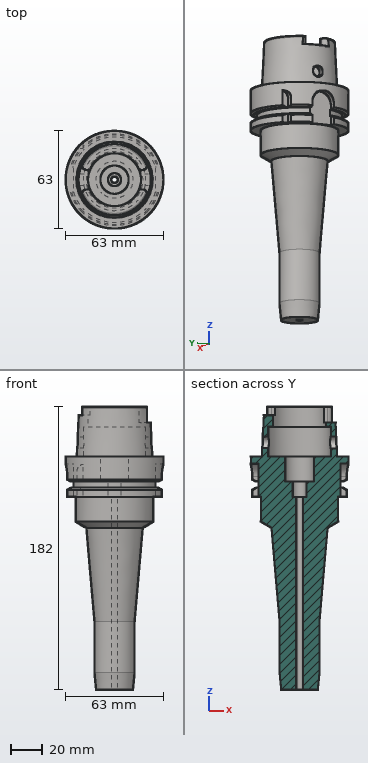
import cadquery as cq

TOTAL_LENGTH = 182.0
TAPER_LENGTH = 32.0
FLANGE_HEIGHT = 26.0
FLANGE_TOP = TOTAL_LENGTH - TAPER_LENGTH
FLANGE_BOTTOM = FLANGE_TOP - FLANGE_HEIGHT
BODY_BOTTOM = 108.0
NECK_TOP = 104.0
NECK_BOTTOM = 44.0
NOSE_TOP = 11.0

FLANGE_RADIUS = 31.5
TAPER_BASE_RADIUS = 24.4
TAPER_TOP_RADIUS = 22.8
TAPER_EDGE_FILLET = 1.2
BODY_RADIUS = 25.0
NECK_TOP_RADIUS = 18.2
SHANK_RADIUS = 13.0
NOSE_RADIUS = 11.9

GROOVE_RADIUS = 27.5
GROOVE_LOWER_LEDGE_RADIUS = 28.7
GROOVE_UPPER_LEDGE_RADIUS = 29.5
GROOVE_RIM_BOTTOM = 128.5
GROOVE_FLOOR_BOTTOM = 130.1
GROOVE_FLOOR_TOP = 134.0
GROOVE_RIM_TOP = 135.1

MOUTH_RADIUS = 17.0
MOUTH_DEPTH = 13.0
CAVITY_RADIUS = 20.0
CAVITY_FLOOR = FLANGE_TOP
TUBE_BORE_RADIUS = 9.1
TUBE_BORE_DEPTH = 16.0
STEP_BORE_RADIUS = 4.2
STEP_BORE_DEPTH = 10.0
COOLANT_RADIUS = 2.0

CROSS_HOLE_RADIUS = 3.6
CROSS_HOLE_ABOVE_FLANGE = 9.0

KEYWAY_WIDTH = 12.4
KEYWAY_CORNER_RADIUS = 3.0
KEYWAY_FLAT_X = 20.9
KEYWAY_DEPTH_LEFT = 5.5
KEYWAY_DEPTH_RIGHT = 10.2

SLOT_RADIUS = 8.0
SLOT_FLOOR_X = 26.5
SLOT_TOP = 145.2

NOTCH_OFFSET = 20.1
NOTCH_RADIUS = 5.0
NOTCH_TOP = 145.0


def revolve_profile(profile):
    """Turned shape from (radius, height) points, revolved about the Z axis."""
    return cq.Workplane("XZ").polyline(profile).close().revolve(360, (0, 0), (0, 1))


def make_outer_body():
    profile = [
        (0, 0),
        (NOSE_RADIUS, 0),
        (SHANK_RADIUS, NOSE_TOP),
        (SHANK_RADIUS, NECK_BOTTOM),
        (NECK_TOP_RADIUS, NECK_TOP),
        (BODY_RADIUS, BODY_BOTTOM),
        (BODY_RADIUS, FLANGE_BOTTOM),
        (FLANGE_RADIUS, FLANGE_BOTTOM),
        (FLANGE_RADIUS, GROOVE_RIM_BOTTOM),
        (GROOVE_LOWER_LEDGE_RADIUS, GROOVE_FLOOR_BOTTOM),
        (GROOVE_RADIUS, GROOVE_FLOOR_BOTTOM),
        (GROOVE_RADIUS, GROOVE_FLOOR_TOP),
        (GROOVE_UPPER_LEDGE_RADIUS, GROOVE_FLOOR_TOP),
        (FLANGE_RADIUS, GROOVE_RIM_TOP),
        (FLANGE_RADIUS, FLANGE_TOP),
        (TAPER_BASE_RADIUS, FLANGE_TOP),
        (TAPER_TOP_RADIUS, TOTAL_LENGTH),
        (0, TOTAL_LENGTH),
    ]
    return revolve_profile(profile).faces(">Z").edges().fillet(TAPER_EDGE_FILLET)


def make_bore():
    mouth_bottom = TOTAL_LENGTH - MOUTH_DEPTH
    tube_floor = CAVITY_FLOOR - TUBE_BORE_DEPTH
    step_floor = tube_floor - STEP_BORE_DEPTH
    profile = [
        (0, 0),
        (COOLANT_RADIUS, 0),
        (COOLANT_RADIUS, step_floor),
        (STEP_BORE_RADIUS, step_floor),
        (STEP_BORE_RADIUS, tube_floor),
        (TUBE_BORE_RADIUS, tube_floor),
        (TUBE_BORE_RADIUS, CAVITY_FLOOR),
        (CAVITY_RADIUS, CAVITY_FLOOR),
        (CAVITY_RADIUS, mouth_bottom),
        (MOUTH_RADIUS, mouth_bottom),
        (MOUTH_RADIUS, TOTAL_LENGTH),
        (0, TOTAL_LENGTH),
    ]
    return revolve_profile(profile)


def make_cross_hole():
    height = FLANGE_TOP + CROSS_HOLE_ABOVE_FLANGE
    return (
        cq.Workplane("YZ")
        .center(0, height)
        .circle(CROSS_HOLE_RADIUS)
        .extrude(FLANGE_RADIUS, both=True)
    )


def make_keyway(side, depth):
    """Keyway through the taper wall; the lugs beside it have rounded corners and flat outer faces."""
    half_width = KEYWAY_WIDTH / 2
    corner_x = KEYWAY_FLAT_X - KEYWAY_CORNER_RADIUS
    corner_y = half_width + KEYWAY_CORNER_RADIUS
    outer = FLANGE_RADIUS
    outline = (
        cq.Workplane("XY", origin=(0, 0, TOTAL_LENGTH - depth))
        .moveTo(0, -half_width)
        .lineTo(side * corner_x, -half_width)
        .tangentArcPoint((side * KEYWAY_FLAT_X, -corner_y), relative=False)
        .lineTo(side * KEYWAY_FLAT_X, -outer)
        .lineTo(side * outer, -outer)
        .lineTo(side * outer, outer)
        .lineTo(side * KEYWAY_FLAT_X, outer)
        .lineTo(side * KEYWAY_FLAT_X, corner_y)
        .tangentArcPoint((side * corner_x, half_width), relative=False)
        .lineTo(0, half_width)
        .close()
    )
    return outline.extrude(depth)


def make_round_top_slot(center_y, radius, top, x_start, x_length):
    """Slot milled along X, open at the flange underside and round at its top."""
    center_z = top - radius
    return (
        cq.Workplane("YZ", origin=(x_start, 0, 0))
        .moveTo(center_y - radius, FLANGE_BOTTOM)
        .lineTo(center_y - radius, center_z)
        .threePointArc((center_y, top), (center_y + radius, center_z))
        .lineTo(center_y + radius, FLANGE_BOTTOM)
        .close()
        .extrude(x_length)
    )


def make_drive_slot(side):
    return make_round_top_slot(0, SLOT_RADIUS, SLOT_TOP, side * SLOT_FLOOR_X, side * FLANGE_RADIUS)


def make_orientation_notch():
    return make_round_top_slot(
        NOTCH_OFFSET + NOTCH_RADIUS, NOTCH_RADIUS, NOTCH_TOP, -NOTCH_OFFSET, -FLANGE_RADIUS
    )


result = make_outer_body().cut(make_bore()).cut(make_cross_hole())
for side, keyway_depth in ((-1, KEYWAY_DEPTH_LEFT), (1, KEYWAY_DEPTH_RIGHT)):
    result = result.cut(make_keyway(side, keyway_depth))
    result = result.cut(make_drive_slot(side))
result = result.cut(make_orientation_notch())